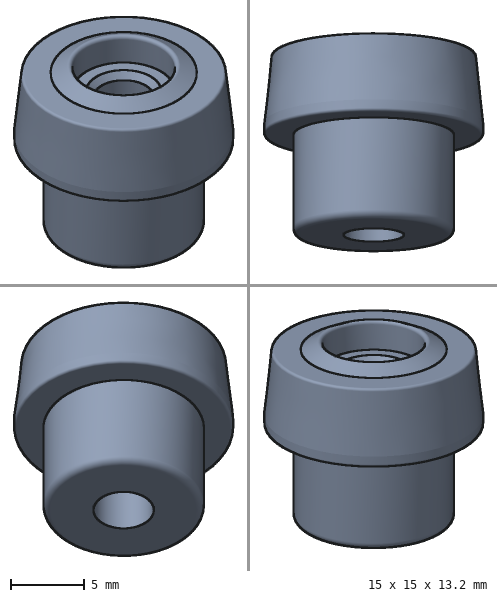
import cadquery as cq
import math

total_height = 13.22
shank_length = 7.0
rim_height = 12.6
band_top = 7.8

shank_radius = 11.0 / 2
head_radius = 15.0 / 2
side_taper = 6.0
head_top_radius = head_radius - (rim_height - band_top) * math.tan(math.radians(side_taper))
cone_base_radius = 5.0

recess_radius = 7.0 / 2
recess_floor = 11.1
hole_radius = 4.13 / 2
countersink_size = 0.5

shank_fillet = 0.5
edge_fillet = 0.2
lip_fillet = 0.25

match_tolerance = 0.01

lip_centre_radius = recess_radius + lip_fillet
lip_centre_height = total_height - lip_fillet
cone_run = cone_base_radius - lip_centre_radius
cone_rise = rim_height - lip_centre_height
centre_distance = math.hypot(cone_run, cone_rise)
lip_angle = math.atan2(cone_rise, cone_run) + math.acos(lip_fillet / centre_distance)


def lip_point(angle):
    """Point on the lip round, with the angle measured from the outward direction."""
    return (
        lip_centre_radius + lip_fillet * math.cos(angle),
        lip_centre_height + lip_fillet * math.sin(angle),
    )


def make_body():
    """Turned body: shank, head, raised cone and stepped bore."""
    profile = (
        cq.Workplane("XZ")
        .moveTo(hole_radius, 0)
        .lineTo(shank_radius, 0)
        .lineTo(shank_radius, shank_length)
        .lineTo(head_radius, shank_length)
        .lineTo(head_radius, band_top)
        .lineTo(head_top_radius, rim_height)
        .lineTo(cone_base_radius, rim_height)
        .lineTo(*lip_point(lip_angle))
        .threePointArc(lip_point((lip_angle + math.pi) / 2), lip_point(math.pi))
        .lineTo(recess_radius, recess_floor)
        .lineTo(hole_radius + countersink_size, recess_floor)
        .lineTo(hole_radius, recess_floor - countersink_size)
        .close()
    )
    return profile.revolve(360, (0, 0, 0), (0, 1, 0))


def round_edge(body, radius, height, fillet_radius):
    """Fillet the circular edge with the given radius at the given height."""
    edges = [
        edge
        for edge in body.edges("%CIRCLE").vals()
        if abs(edge.radius() - radius) < match_tolerance
        and abs(edge.Center().z - height) < match_tolerance
    ]
    return body.newObject(edges).fillet(fillet_radius)


result = make_body()
result = round_edge(result, shank_radius, 0, shank_fillet)
result = round_edge(result, head_radius, shank_length, edge_fillet)
result = round_edge(result, head_top_radius, rim_height, edge_fillet)